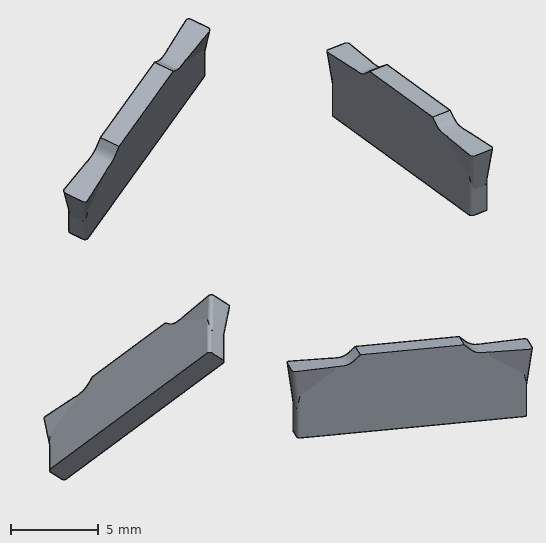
import cadquery as cq
import math

BODY_WIDTH = 1.24
BODY_LENGTH = 13.44
CORNER_RADIUS = 0.2

TOTAL_HEIGHT = 4.81
HEAD_Z = 4.22
CREST_HALF_LENGTH = 3.04
RELIEF_RADIUS = 1.0
RELIEF_ANGLE = math.radians(42)

HEAD_TIP_Y = 7.03
HEAD_DEPTH = 2.81
FRONT_CLEARANCE = math.radians(7)
FLANK_START_Y = 4.1
FLANK_PLAN_SLOPE = 0.057
FLANK_CLEARANCE = math.radians(5)
STEP_Y = 4.54
STEP_SLOPE = 0.25
STEP_RETURN_LENGTH = 0.42


def make_body():
    """Blade with rounded vertical corners and a raised crest."""
    half_length = BODY_LENGTH / 2
    arc_run = RELIEF_RADIUS * math.sin(RELIEF_ANGLE)
    arc_rise = RELIEF_RADIUS * (1 - math.cos(RELIEF_ANGLE))
    ramp_rise = TOTAL_HEIGHT - HEAD_Z - arc_rise
    arc_top_y = CREST_HALF_LENGTH + ramp_rise / math.tan(RELIEF_ANGLE)
    arc_top_z = HEAD_Z + arc_rise
    flat_y = arc_top_y + arc_run

    profile = (
        cq.Workplane("YZ")
        .moveTo(-half_length, 0)
        .lineTo(half_length, 0)
        .lineTo(half_length, HEAD_Z)
        .lineTo(flat_y, HEAD_Z)
        .radiusArc((arc_top_y, arc_top_z), RELIEF_RADIUS)
        .lineTo(CREST_HALF_LENGTH, TOTAL_HEIGHT)
        .lineTo(-CREST_HALF_LENGTH, TOTAL_HEIGHT)
        .lineTo(-arc_top_y, arc_top_z)
        .radiusArc((-flat_y, HEAD_Z), RELIEF_RADIUS)
        .lineTo(-half_length, HEAD_Z)
        .close()
    )
    body = profile.extrude(BODY_WIDTH / 2, both=True)
    return body.edges("|Z").edges("<Y or >Y").fillet(CORNER_RADIUS)


def head_outline(depth):
    """Plan outline of the +Y head at a depth below its top."""
    tip_y = HEAD_TIP_Y - depth * math.tan(FRONT_CLEARANCE)

    def flank_x(y):
        flare = FLANK_PLAN_SLOPE * (y - FLANK_START_Y)
        return BODY_WIDTH / 2 + flare - depth * math.tan(FLANK_CLEARANCE)

    tip_x = flank_x(tip_y)
    step_x = flank_x(STEP_Y)
    back_x = step_x - STEP_SLOPE * STEP_RETURN_LENGTH
    back_y = STEP_Y - STEP_RETURN_LENGTH
    right_side = [(back_x, back_y), (step_x, STEP_Y), (tip_x, tip_y)]
    left_side = [(-x, y) for x, y in reversed(right_side)]
    return right_side + left_side


def make_head():
    """The +Y head, narrowing downward until it lies inside the body."""
    head = (
        cq.Workplane("XY", origin=(0, 0, HEAD_Z))
        .polyline(head_outline(0))
        .close()
        .workplane(offset=-HEAD_DEPTH)
        .polyline(head_outline(HEAD_DEPTH))
        .close()
        .loft(ruled=True)
    )
    tip_corners = head.faces(">Y").edges("not #Z")
    return head.newObject(tip_corners.vals()).fillet(CORNER_RADIUS)


head = make_head()
result = make_body().union(head).union(head.mirror("XZ"))